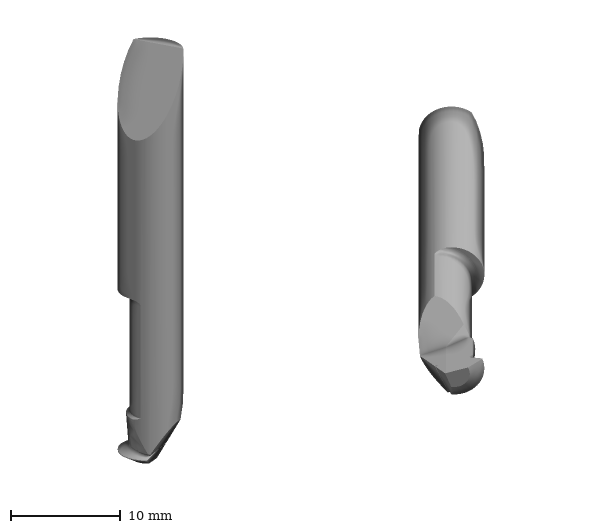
import cadquery as cq
import math

shank_radius = 3.0
length = 40.0
oversize = 30.0
big_radius = 8.0

slope = math.tan(math.radians(60))
top_flat_y = 1.55
front_slope_foot_x = 0.53
relief_top_z = 9.13

neck_axis_x = 1.24
neck_radius = 3.03
neck_top = 16.5
neck_fillet = 0.55
neck_bottom = 4.94
head_step = 0.3
head_radius = neck_radius + head_step
head_top = 4.74
head_bottom = 1.97
underside_slope = 0.78
underside_radius = 1.5
head_lean = 8.5

flank_chords = [
    (4.74, (-1.6, -1.85), (-0.6, -2.83)),
    (3.5, (-1.35, -2.05), (0.1, -2.97)),
    (1.2, (-0.5, -2.28), (1.5, -2.7)),
]
flank_overrun = 1.5
flank_cutter_depth = 3.0

back_face_y = 0.24
rake_angle = 4.0
pocket_start_y = 1.08
pocket_foot_z = 5.1
pocket_right_x = 0.5

tip_x = -shank_radius
tip_radius = 2.78
tooth_core_radius = 1.0
tip_z = 0.88
tip_land = 0.08
flank_slope = 0.62
tooth_lean = 2.5
split_height = 1.72
split_lean = 11.0


def half_space_above(profile_plane, start, direction, normal_side):
    """Large prism on one side of the line through start along direction, in the given plane."""
    dx, dy = direction
    size = math.hypot(dx, dy)
    dx, dy = dx / size * oversize, dy / size * oversize
    nx, ny = (-dy, dx) if normal_side == "left" else (dy, -dx)
    x, y = start
    corners = [
        (x - dx, y - dy),
        (x + dx, y + dy),
        (x + dx + nx, y + dy + ny),
        (x - dx + nx, y - dy + ny),
    ]
    return cq.Workplane(profile_plane).polyline(corners).close().extrude(oversize, both=True)


def shank():
    """Round bar over the full length."""
    return (
        cq.Workplane("YZ")
        .moveTo(-shank_radius / 2, length / 2)
        .rect(shank_radius, length)
        .revolve(360, (0, 0), (0, 1))
    )


def turned_envelope():
    """Neck, head and conical underside, turned about the offset axis."""
    neck_x = -neck_radius
    underside_z = head_bottom - underside_slope * (head_radius - underside_radius)
    arc_offset = neck_fillet * (1 - math.sqrt(0.5))
    return (
        cq.Workplane("XZ", origin=(neck_axis_x, 0, 0))
        .moveTo(0, length)
        .lineTo(-big_radius, length)
        .lineTo(-big_radius, neck_top)
        .lineTo(neck_x - neck_fillet, neck_top)
        .threePointArc(
            (neck_x - arc_offset, neck_top - arc_offset),
            (neck_x, neck_top - neck_fillet),
        )
        .lineTo(neck_x, neck_bottom)
        .lineTo(-head_radius, head_top)
        .lineTo(-head_radius, head_bottom)
        .lineTo(-underside_radius, underside_z)
        .lineTo(0, underside_z)
        .close()
        .revolve(360, (0, 0), (0, 1))
    )


def head_side_clearance():
    """Everything outside the leaning head cylinder, in front of the axis and below the neck."""
    leaning_cylinder = (
        cq.Workplane("XY")
        .circle(head_radius)
        .extrude(oversize, both=True)
        .rotate((0, 0, 0), (1, 0, 0), head_lean)
        .translate((neck_axis_x, 0, head_top))
    )
    front_of_head = cq.Workplane("XY").box(oversize, oversize, head_top, centered=(True, False, False))
    return front_of_head.translate((0, -oversize, 0)).cut(leaning_cylinder)


def flank_section(height, left, right):
    """Closed wire lying outside one chord of the twisted flat."""
    start = cq.Vector(*left, height)
    end = cq.Vector(*right, height)
    along = (end - start).normalized()
    outward = along.cross(cq.Vector(0, 0, 1)) * flank_cutter_depth
    start = start - along * flank_overrun
    end = end + along * flank_overrun
    return cq.Wire.makePolygon([start, end, end + outward, start + outward], close=True)


def head_flank_relief():
    """Cutter for the twisted flat on the front of the head."""
    sections = [flank_section(*chord) for chord in flank_chords]
    return cq.Workplane(obj=cq.Solid.makeLoft(sections))


def slope_z(y):
    """Height of the chip slope at a given y."""
    return relief_top_z - slope * (shank_radius - y)


def chip_space():
    """Back of the bar removed by the chip slope and the flat back face."""
    corner_z = slope_z(back_face_y)
    outer_y = oversize
    return (
        cq.Workplane("YZ")
        .moveTo(back_face_y, -oversize)
        .lineTo(back_face_y, corner_z)
        .lineTo(outer_y, slope_z(outer_y))
        .lineTo(outer_y, -oversize)
        .close()
        .extrude(oversize, both=True)
    )


def neck_left_x(y):
    """Left side of the neck at a given y."""
    return neck_axis_x - math.sqrt(neck_radius**2 - y**2)


def chip_pocket():
    """Wedge ground into the back: inclined rake face below, sloped run-out face above."""
    rake = half_space_above(
        "XY", (tip_x, 0), (1, math.tan(math.radians(rake_angle))), "left"
    )
    foot_y = math.tan(math.radians(rake_angle)) * (neck_left_x(0) - tip_x)
    start = cq.Vector(neck_left_x(pocket_start_y), pocket_start_y, slope_z(pocket_start_y))
    foot = cq.Vector(neck_left_x(foot_y), foot_y, pocket_foot_z)
    run_out = cq.Vector(pocket_right_x, back_face_y, slope_z(back_face_y))
    normal = (foot - start).cross(run_out - start)
    if normal.z > 0:
        normal = normal * -1
    below_run_out = (
        cq.Workplane(cq.Plane(origin=start.toTuple(), normal=normal.toTuple()))
        .rect(2 * oversize, 2 * oversize)
        .extrude(oversize)
    )
    return rake.intersect(below_run_out)


def tooth_blank():
    """Tooth ring with two conical flanks, turned about a slightly leaning axis."""
    land_top = tip_z + tip_land / 2
    land_bottom = tip_z - tip_land / 2
    flank_height = flank_slope * (tip_radius - tooth_core_radius)
    return (
        cq.Workplane("XZ")
        .moveTo(0, land_top + flank_height)
        .lineTo(-tooth_core_radius, land_top + flank_height)
        .lineTo(-tip_radius, land_top)
        .lineTo(-tip_radius, land_bottom)
        .lineTo(-tooth_core_radius, land_bottom - flank_height)
        .lineTo(0, land_bottom - flank_height)
        .close()
        .revolve(360, (0, 0), (0, 1))
        .rotate((0, 0, 0), (1, 0, 0), tooth_lean)
        .translate((tip_x + tip_radius, 0, 0))
    )


nose_slope = half_space_above("XZ", (front_slope_foot_x, 0), (1, slope), "right")
below_bottom = half_space_above("XZ", (0, 0), (1, 0), "right")
split_direction = (1, math.tan(math.radians(split_lean)))
below_split = half_space_above("YZ", (0, split_height), split_direction, "right")
above_split = half_space_above("YZ", (0, split_height), split_direction, "left")
chip_removal = chip_space()
pocket = chip_pocket()

top_flat = half_space_above("YZ", (top_flat_y, length), (1, slope), "left")
holder = (
    shank()
    .intersect(turned_envelope())
    .cut(top_flat)
    .cut(head_side_clearance())
    .cut(head_flank_relief())
    .cut(nose_slope)
    .cut(chip_removal)
    .cut(pocket)
    .cut(below_split)
)

tooth = (
    tooth_blank()
    .cut(above_split)
    .cut(below_bottom)
    .cut(nose_slope)
    .cut(chip_removal)
    .cut(pocket)
)

result = cq.Compound.makeCompound([holder.val(), tooth.val()])